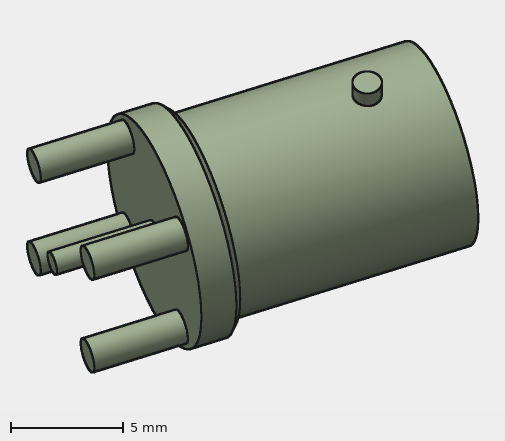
import cadquery as cq

total_length = 18.6
flange_diameter = 11.0
flange_thickness = 2.0
flange_chamfer = 0.32
barrel_diameter = 9.6

center_pin_diameter = 1.1
center_pin_length = 4.93
leg_diameter = 1.6
leg_length = 4.52
leg_spacing = 6.25

lug_diameter = 1.32
lug_span = 11.2
lug_setback = 3.39

barrel_length = total_length - center_pin_length - flange_thickness
barrel_end = flange_thickness + barrel_length


def cylinder_along_y(diameter, start, length):
    """Cylinder on the Y axis, from Y = start toward +Y."""
    return cq.Workplane("XZ", origin=(0, start, 0)).circle(diameter / 2).extrude(-length)


flange = cylinder_along_y(flange_diameter, 0, flange_thickness).faces(">Y").chamfer(flange_chamfer)

barrel = cylinder_along_y(barrel_diameter, flange_thickness, barrel_length)

center_pin = cylinder_along_y(center_pin_diameter, -center_pin_length, center_pin_length)
legs = (
    cq.Workplane("XZ")
    .rarray(leg_spacing, leg_spacing, 2, 2)
    .circle(leg_diameter / 2)
    .extrude(leg_length)
)

lugs = (
    cq.Workplane("XY", origin=(0, barrel_end - lug_setback, 0))
    .circle(lug_diameter / 2)
    .extrude(lug_span / 2, both=True)
)

result = flange.union(barrel).union(center_pin).union(legs).union(lugs)